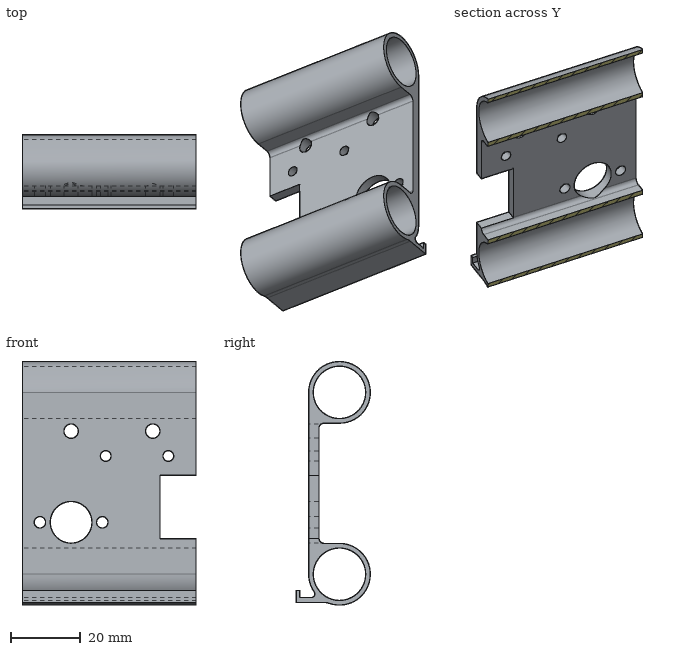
import cadquery as cq
import math

length = 50.0
height = 70.1
depth = 21.4

tube_diameter = 17.8
bore_diameter = 15.0
tube_radius = tube_diameter / 2
lower_tube_z = tube_radius
upper_tube_z = height - tube_radius

plate_thickness = 3.0
plate_fillet = 1.5

foot_bottom_z = 0.8
foot_thickness = 1.5
lip_height = 3.5
lip_thickness = 1.1
groove_fillet = 1.0
underside_fillet = 5.0
lip_front_y = tube_diameter - depth

notch_depth = 10.4
notch_bottom_z = 19.15
notch_height = 18.2

large_hole_diameter = 11.9
large_hole_x = 14.0
large_hole_z = 23.85
flange_hole_diameter = 3.2
flange_hole_offset = 9.0
upper_hole_diameter = 4.1
upper_hole_z = 50.05
upper_hole_spacing = 23.5
middle_hole_diameter = 3.0
middle_hole_x = 24.0
middle_hole_z = 42.9
middle_hole_spacing = 18.0


def box(x_range, y_range, z_range):
    """Axis-aligned block between the given limits."""
    sizes = [high - low for low, high in (x_range, y_range, z_range)]
    corner = (x_range[0], y_range[0], z_range[0])
    return cq.Workplane("XY").box(*sizes, centered=False).translate(corner)


def rod(diameter, center_z):
    """Full-length cylinder on a tube axis."""
    return cq.Workplane("YZ").center(tube_radius, center_z).circle(diameter / 2).extrude(length)


def fillet_along_x(body, y, z, radius):
    """Round the full-length edge that passes through (y, z)."""
    edge = cq.selectors.NearestToPointSelector((length / 2, y, z))
    return body.edges("|X").edges(edge).fillet(radius)


def plate_hole(diameter, x, z):
    """Cutter for a round hole through the plate and any shoulder fillet behind it."""
    hole_plane = cq.Workplane("XZ").center(x, z)
    return hole_plane.circle(diameter / 2).extrude(-tube_radius)


full_length = (0, length)
body = box(full_length, (0, plate_thickness), (lower_tube_z, upper_tube_z))
shoulders = (
    (lower_tube_z, lower_tube_z + tube_radius),
    (upper_tube_z - tube_radius, upper_tube_z),
)
for shoulder in shoulders:
    body = body.union(box(full_length, (0, tube_radius), shoulder))
for corner_z in (lower_tube_z + tube_radius, upper_tube_z - tube_radius):
    body = fillet_along_x(body, plate_thickness, corner_z, plate_fillet)

for tube_z in (lower_tube_z, upper_tube_z):
    body = body.union(rod(tube_diameter, tube_z))

foot_top_z = foot_bottom_z + foot_thickness
foot = box(full_length, (lip_front_y, tube_radius), (foot_bottom_z, foot_top_z))
lip = box(
    full_length,
    (lip_front_y, lip_front_y + lip_thickness),
    (foot_bottom_z, foot_bottom_z + lip_height),
)
body = body.union(foot).union(lip)
blends = ((foot_top_z, groove_fillet), (foot_bottom_z, underside_fillet))
for face_z, radius in blends:
    half_chord = math.sqrt(tube_radius**2 - (lower_tube_z - face_z) ** 2)
    body = fillet_along_x(body, tube_radius - half_chord, face_z, radius)

for tube_z in (lower_tube_z, upper_tube_z):
    body = body.cut(rod(bore_diameter, tube_z))

body = body.cut(
    box(
        (length - notch_depth, length),
        (0, tube_radius),
        (notch_bottom_z, notch_bottom_z + notch_height),
    )
)

holes = (
    (large_hole_diameter, large_hole_x, large_hole_z),
    (flange_hole_diameter, large_hole_x - flange_hole_offset, large_hole_z),
    (flange_hole_diameter, large_hole_x + flange_hole_offset, large_hole_z),
    (upper_hole_diameter, large_hole_x, upper_hole_z),
    (upper_hole_diameter, large_hole_x + upper_hole_spacing, upper_hole_z),
    (middle_hole_diameter, middle_hole_x, middle_hole_z),
    (middle_hole_diameter, middle_hole_x + middle_hole_spacing, middle_hole_z),
)
for diameter, x, z in holes:
    body = body.cut(plate_hole(diameter, x, z))

result = body